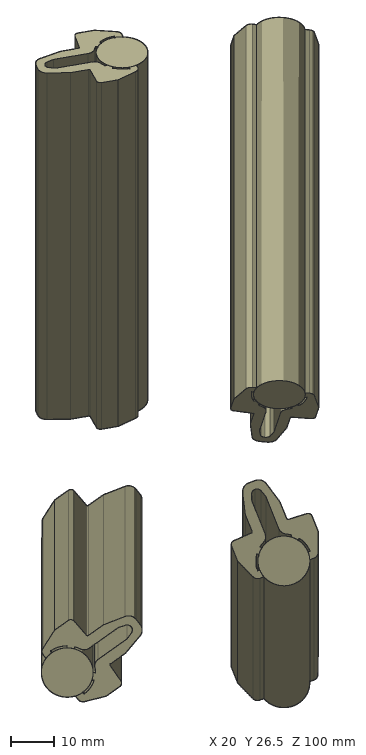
import cadquery as cq
import math

length = 100.0
rod_radius = 6.0

half_width = 10.0
lip_top_y = 1.9
lip_corner_x = 7.7
shoulder_y = -3.8
flange_corner_y = -8.7
flange_root_y = -9.0
stem_half_width = 4.3
stem_taper_y = -13.6
stem_tip_half_width = 2.5
stem_bottom_y = -20.5

lip_round = 1.5
flange_round = 1.0
root_round = 0.3
tip_round = 2.2

slot_half_width = 1.7
slot_taper_y = -16.0
slot_tip_half_width = 0.9
slot_bottom_y = -18.5
slot_tip_round = 1.2
slot_mouth_round = 2.0

relief_radius = 6.5
pad_start_angle = 36.0
pad_end_angle = 53.0


def mirrored_prism(right_side):
    """Extrude the closed outline made of the right-side points and their mirror images."""
    left_side = [(-x, y) for x, y in reversed(right_side)]
    return cq.Workplane("XY").polyline(right_side + left_side).close().extrude(length)


def round_edges(body, x, y, radius):
    """Round the two vertical edges that stand at +x and -x."""
    for side in (-1, 1):
        edge_point = (side * x, y, length / 2)
        body = body.edges(cq.selectors.NearestToPointSelector(edge_point)).fillet(radius)
    return body


def make_outer_block():
    block = mirrored_prism([
        (lip_corner_x, lip_top_y),
        (half_width, shoulder_y),
        (half_width, flange_corner_y),
        (stem_half_width, flange_root_y),
        (stem_half_width, stem_taper_y),
        (stem_tip_half_width, stem_bottom_y),
    ])
    block = round_edges(block, lip_corner_x, lip_top_y, lip_round)
    block = round_edges(block, half_width, flange_corner_y, flange_round)
    block = round_edges(block, stem_half_width, flange_root_y, root_round)
    return round_edges(block, stem_tip_half_width, stem_bottom_y, tip_round)


def make_slot():
    slot = mirrored_prism([
        (slot_half_width, 0),
        (slot_half_width, slot_taper_y),
        (slot_tip_half_width, slot_bottom_y),
    ])
    return round_edges(slot, slot_tip_half_width, slot_bottom_y, slot_tip_round)


def make_pad_wedge(side):
    """Sector that stays solid outside the rod and forms one contact pad."""
    reach = 2 * relief_radius
    corners = [
        (side * reach * math.cos(math.radians(angle)), -reach * math.sin(math.radians(angle)))
        for angle in (pad_start_angle, pad_end_angle)
    ]
    return cq.Workplane("XY").polyline([(0, 0)] + corners).close().extrude(length)


def make_rod():
    return cq.Workplane("XY").circle(rod_radius).extrude(length)


def make_relief():
    relief = cq.Workplane("XY").circle(relief_radius).extrude(length)
    above_relief = (
        cq.Workplane("XY")
        .rect(2 * relief_radius, 2 * relief_radius)
        .extrude(length)
        .translate((0, relief_radius, 0))
    )
    relief = relief.cut(above_relief)
    for side in (-1, 1):
        relief = relief.cut(make_pad_wedge(side))
    return relief


def make_holder():
    body = make_outer_block().cut(make_slot()).cut(make_relief()).cut(make_rod())
    mouth_y = -math.sqrt(relief_radius**2 - slot_half_width**2)
    return round_edges(body, slot_half_width, mouth_y, slot_mouth_round).solids()


holder = make_holder()
rod = make_rod()

result = cq.Compound.makeCompound([holder.val(), rod.val()])